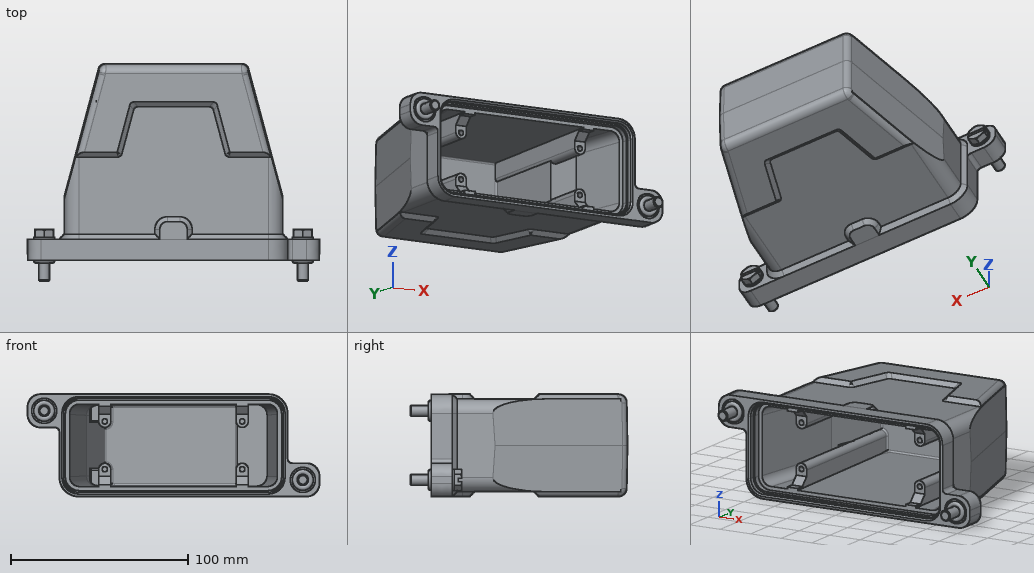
import cadquery as cq
import math

draft_angle = 1.0
flange_draft = 0.5
cavity_draft = 0.5
slant = math.tan(math.radians(15))

half_height = 29.0
flange_half_width = 64.5
flange_corner = 11.0
flange_depth = 12.0
lug_half_height = 9.5
lug_end = 82.5
lug_corner = 7.5
lug_x = lug_end - lug_half_height
lug_z = half_height - lug_half_height
lug_root_radius = 2.5

step = 2.8
body_half_width = flange_half_width - step
body_half_height = half_height - step
body_corner = flange_corner - step
slant_start = 36.0
hood_end = 111.0
hood_fillet = 4.0
hood_end_fillet = 5.0

panel_edge = 61.0
window_end = 89.4
window_half_width = 31.8
window_corner = 3.5

tab_half_width = 10.5
tab_start = flange_depth - step
tab_end = 24.6
tab_corner = 7.0

lip_wall = 1.5
lip_lead_in = 1.0
step_wall = lip_wall + lip_lead_in
step_depth = 4.0
seat_wall = 3.5
seat_depth = 8.0

cavity_half_width = 58.7
cavity_half_height = 23.3
cavity_corner = 5.7
cavity_floor = 107.0
floor_fillet = 1.0
floor_x = -39.0
kink_x = -49.3
kink_y = cavity_floor - (floor_x - kink_x) / slant
partition_x = 36.0
pocket_x = 52.8
wall_run = (kink_y - seat_depth) / (cavity_half_width + kink_x)
pocket_floor = seat_depth + wall_run * (cavity_half_width - pocket_x)

post_x = 38.8
post_z = 13.5
post_radius = 3.4
post_end = 18.0
post_hole_diameter = 3.0
post_hole_depth = 10.0
ramp_start_z = 17.5
ramp_end_z = 22.2
rib_start_x = -47.3
rib_z = 13.0
rib_end = 72.0
rib_chamfer = 1.0

shank_diameter = 6.2
shank_tip = -11.7
tip_chamfer = 0.6
ring_radius = 4.5
ring_thickness = 2.9
recess_diameter = 14.2
recess_depth = 1.3
washer_diameter = 12.0
washer_height = 1.1
head_flats = 10.6
head_corner_radius = head_flats / 2 / math.cos(math.radians(30))
head_height = 4.3
head_chamfer = 0.6
slot_width = 1.9
slot_depth = 2.0

lug_centres = [(-lug_x, lug_z), (lug_x, -lug_z)]


def facing_back(y):
    """Work plane at Y = y whose extrusions run toward +Y."""
    return cq.Workplane(cq.Plane(origin=(0, y, 0), xDir=(1, 0, 0), normal=(0, 1, 0)))


def facing_front(y):
    """Work plane at Y = y whose extrusions run toward -Y (local x, y are X, Z)."""
    return cq.Workplane("XZ", origin=(0, y, 0))


def rounded_rect(half_width, half_depth, radius):
    sketch = cq.Sketch().rect(2 * half_width, 2 * half_depth)
    return sketch.vertices().fillet(radius)


def slant_x(y):
    """Half width of the hood at depth y on the slanted sides."""
    return body_half_width - (y - slant_start) * slant


def both_faces(solid):
    return [solid, solid.mirror("XY")]


def flange_blank():
    root_z = half_height - 2 * lug_half_height
    outline = facing_front(flange_depth).moveTo(lug_corner - lug_end, half_height)
    for side in (1, -1):
        outline = outline.lineTo(side * (flange_half_width - flange_corner), side * half_height)
        outline = outline.tangentArcPoint(
            (side * flange_half_width, side * (half_height - flange_corner)), relative=False)
        outline = outline.lineTo(side * flange_half_width, side * (lug_root_radius - root_z))
        outline = outline.tangentArcPoint(
            (side * (flange_half_width + lug_root_radius), -side * root_z), relative=False)
        outline = outline.lineTo(side * (lug_end - lug_corner), -side * root_z)
        outline = outline.tangentArcPoint(
            (side * lug_end, -side * (root_z + lug_corner)), relative=False)
        outline = outline.lineTo(side * lug_end, side * (lug_corner - half_height))
        outline = outline.tangentArcPoint(
            (side * (lug_end - lug_corner), -side * half_height), relative=False)
    return outline.close().extrude(flange_depth, taper=flange_draft)


def foot():
    blank = facing_back(flange_depth).placeSketch(
        rounded_rect(flange_half_width, half_height, flange_corner))
    return blank.extrude(step, taper=45)


def hood_outline():
    """Trapezoid whose slanted sides run out to the flange width, clear of the straight body walls."""
    end_x = slant_x(hood_end)
    base_x = flange_half_width
    base_y = slant_start - step / slant
    return cq.Workplane("XY").polyline([
        (-base_x, 0), (base_x, 0), (base_x, base_y),
        (end_x, hood_end), (-end_x, hood_end), (-base_x, base_y)]).close()


def drafted_hood():
    """Hood outline drafted both ways from the parting plane Z = 0."""
    upper = hood_outline().extrude(half_height, taper=draft_angle)
    return upper.union(upper.mirror("XY"))


def raised_panel():
    """Full height closed end of the hood, rounded along its outer edges."""
    upper = hood_outline().extrude(half_height, taper=draft_angle)
    beyond_slant = cq.selectors.BoxSelector(
        (-flange_half_width, slant_start + 1, 1), (flange_half_width, hood_end + 1, half_height + 1))
    upper = upper.edges(">Z").edges(">Y").fillet(hood_end_fillet)
    upper = upper.edges(beyond_slant).edges("not(|X)").fillet(hood_fillet)
    panel = upper.union(upper.mirror("XY"))
    return panel.intersect(facing_back(panel_edge - step).rect(
        2 * flange_half_width, 2 * half_height).extrude(hood_end))


def window():
    """Region cut down to the lower body level, with 45 degree walls."""
    side_run = (window_end - panel_edge) * slant
    far_x = 2 * flange_half_width
    shoulder = window_half_width
    cut = cq.Workplane("XY").workplane(offset=half_height).polyline([
        (-far_x, -far_x), (far_x, -far_x), (far_x, panel_edge), (shoulder, panel_edge),
        (shoulder - side_run, window_end), (side_run - shoulder, window_end),
        (-shoulder, panel_edge), (-far_x, panel_edge)]).close().extrude(-step, taper=45)
    corners = cq.selectors.BoxSelector(
        (-shoulder, 0, half_height - 0.9 * step), (shoulder, window_end, half_height - 0.1 * step))
    return cut.edges(corners).fillet(window_corner)


def lower_body():
    outline = rounded_rect(body_half_width, body_half_height, body_corner)
    return facing_back(0).placeSketch(outline).extrude(hood_end - hood_fillet)


def tab():
    blank = cq.Workplane("XY").workplane(offset=body_half_height)
    sketch = cq.Sketch().push([(0, (tab_start + tab_end) / 2)])
    sketch = sketch.rect(2 * tab_half_width, tab_end - tab_start)
    sketch = sketch.reset().vertices(">Y").fillet(tab_corner)
    return blank.placeSketch(sketch).extrude(step, taper=45)


def mouth_rect(wall):
    """Flange outline moved inward by the wall thickness."""
    return facing_back(0).placeSketch(
        rounded_rect(flange_half_width - wall, half_height - wall, flange_corner - wall))


def seal_recess():
    recess = mouth_rect(lip_wall).extrude(lip_lead_in, taper=45)
    recess = recess.union(mouth_rect(step_wall).extrude(step_depth))
    return recess.union(mouth_rect(seat_wall).extrude(seat_depth))


def wedge():
    """Space between the two broad inner walls, which close in slightly toward the hood end."""
    wall_draft = math.tan(math.radians(cavity_draft))
    floor_half_height = cavity_half_height - (cavity_floor - seat_depth) * wall_draft
    return cq.Workplane("YZ", origin=(-flange_half_width, 0, 0)).polyline([
        (seat_depth, cavity_half_height), (cavity_floor, floor_half_height),
        (cavity_floor, -floor_half_height), (seat_depth, -cavity_half_height),
    ]).close().extrude(2 * flange_half_width)


def main_cavity():
    room = cq.Workplane("XY").polyline([
        (-cavity_half_width, seat_depth), (partition_x, seat_depth), (partition_x, cavity_floor),
        (floor_x, cavity_floor), (kink_x, kink_y)]).close().extrude(half_height, both=True)
    room = room.intersect(wedge())
    for z in (-half_height, half_height):
        wall_edges = cq.selectors.BoxSelector(
            (-flange_half_width, 0, z / 2), (floor_x - 1, cavity_floor, z))
        room = room.edges(wall_edges).fillet(cavity_corner)
    return room


def side_pocket():
    room = cq.Workplane("XY").polyline([
        (0, seat_depth), (cavity_half_width, seat_depth), (pocket_x, pocket_floor),
        (0, pocket_floor)]).close().extrude(half_height, both=True)
    room = room.intersect(wedge())
    for z in (-half_height, half_height):
        wall_edges = cq.selectors.BoxSelector(
            (pocket_x + 1, 0, z / 2), (flange_half_width, pocket_floor, z))
        room = room.edges(wall_edges).fillet(cavity_corner)
    return room


def post(side):
    """Post with a round nose and a ramp up to the seat, side = -1 or 1 along X."""
    x = side * post_x
    bar = facing_front(cavity_floor + 1).center(x, 0).moveTo(-post_radius, half_height)
    bar = bar.lineTo(-post_radius, post_z)
    bar = bar.threePointArc((0, post_z - post_radius), (post_radius, post_z))
    bar = bar.lineTo(post_radius, half_height).close().extrude(cavity_floor + 1 - post_end)
    ramp_rise = ramp_end_z - ramp_start_z
    ramp = cq.Workplane("YZ", origin=(x - post_radius, 0, 0)).polyline([
        (post_end, ramp_start_z), (post_end - ramp_rise, ramp_end_z), (seat_depth, ramp_end_z),
        (seat_depth, half_height), (post_end, half_height)]).close().extrude(2 * post_radius)
    return bar.union(ramp)


def post_rib():
    """Short web that ties a post to the sloped side wall."""
    length = -post_x - rib_start_x
    rib = facing_front(cavity_floor).center(rib_start_x + length / 2, (rib_z + half_height) / 2)
    rib = rib.rect(length, half_height - rib_z).extrude(cavity_floor - rib_end)
    return rib.faces("<Y").edges("<X or <Z").chamfer(rib_chamfer)


def post_hole(side):
    hole = facing_front(post_end + post_hole_depth).center(side * post_x, post_z)
    return hole.circle(post_hole_diameter / 2).extrude(post_hole_depth)


def cavity():
    room = main_cavity()
    for solid in [post(-1), post_rib()]:
        for piece in both_faces(solid):
            room = room.cut(piece)
    room = room.faces(">Y").edges().fillet(floor_fillet)
    room = room.union(side_pocket())
    for piece in both_faces(post(1)):
        room = room.cut(piece)
    for side in (-1, 1):
        for hole in both_faces(post_hole(side)):
            room = room.union(hole)
    return room


def build_housing():
    panel = raised_panel()
    for cut in both_faces(window()):
        panel = panel.cut(cut)
    shell = drafted_hood().intersect(lower_body()).union(panel)
    shell = shell.union(flange_blank()).union(foot())
    for piece in both_faces(tab()):
        shell = shell.union(piece)
    shell = shell.cut(seal_recess()).cut(cavity())
    for x, z in lug_centres:
        hole = facing_front(flange_depth).center(x, z).circle(shank_diameter / 2)
        recess = facing_front(recess_depth).center(x, z).circle(recess_diameter / 2)
        shell = shell.cut(hole.extrude(flange_depth)).cut(recess.extrude(recess_depth))
    return shell


def screw(x, z):
    """Slotted hexagon screw with its washer and a round sealing ring under the flange."""
    shank_length = flange_depth - shank_tip
    body = facing_front(flange_depth).circle(shank_diameter / 2).extrude(shank_length)
    body = body.faces("<Y").chamfer(tip_chamfer)
    ring_centre = cq.Vector(0, recess_depth - ring_thickness / 2, 0)
    ring = cq.Workplane(cq.Solid.makeTorus(
        ring_radius, ring_thickness / 2, ring_centre, cq.Vector(0, 1, 0)))
    washer = facing_back(flange_depth).circle(washer_diameter / 2).extrude(washer_height)
    head = facing_back(flange_depth + washer_height).transformed(rotate=(0, 0, 30))
    head = head.polygon(6, 2 * head_corner_radius).extrude(head_height)
    crown = facing_back(flange_depth).circle(head_corner_radius).extrude(washer_height + head_height)
    head = head.intersect(crown.faces(">Y").chamfer(head_chamfer))
    slot = facing_front(flange_depth + washer_height + head_height).rect(2 * head_flats, slot_width)
    head = head.cut(slot.extrude(slot_depth))
    return body.union(ring).union(washer).union(head).translate((x, 0, z))


housing = build_housing()
screws = [screw(x, z) for x, z in lug_centres]

result = cq.Compound.makeCompound([housing.val(), *[s.val() for s in screws]])